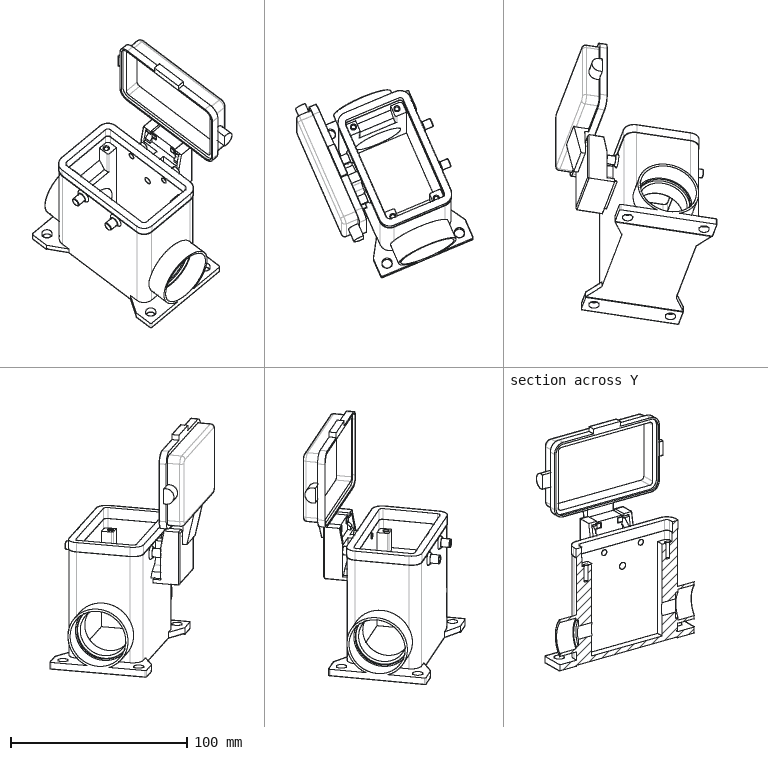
import cadquery as cq

FOOT_HALF_LENGTH = 46.75
FOOT_HALF_WIDTH = 28.5
FOOT_HEIGHT = 4.0
FOOT_WING_TIP_X = 24.2
FOOT_CORNER_RADIUS = 0.8
FOOT_HOLE_X = 40.75
FOOT_HOLE_Y = 22.35
FOOT_HOLE_RADIUS = 2.9

BODY_HALF_LENGTH = 35.2
BODY_HALF_WIDTH = 21.75
BODY_BOTTOM_Z = 0.5
BODY_TOP_Z = 73.1
BODY_CORNER_RADIUS = 6.0
RIM_HEIGHT = 5.6
RIM_OVERHANG = 0.3

CAVITY_HALF_LENGTH = 31.3
CAVITY_HALF_WIDTH = 17.85
CAVITY_CORNER_RADIUS = 2.0
CAVITY_LEDGE = 0.15
CAVITY_LEDGE_Z = 66.6
FLOOR_Z = 4.0

END_BLOCK_FACE_X = 24.3
END_BLOCK_RAMP_X = 27.3
END_BLOCK_TOP_Z = 44.5
END_BLOCK_RAMP_TOP_Z = 50.0
POST_TOP_Z = 61.0
POST_INNER_Y = 10.85
POST_EDGE_RADIUS = 0.8
SCREW_HOLE_X = 28.3
SCREW_HOLE_Y = 13.45
SCREW_HOLE_RADIUS = 1.2
SCREW_HOLE_CHAMFER = 0.55
SCREW_HOLE_DEPTH = 10.0

ENTRY_Z = 20.5
ENTRY_OUTER_RADIUS = 17.75
ENTRY_BORE_RADIUS = 14.0
ENTRY_SOCKET_RADIUS = 16.4
ENTRY_SEAT_RADIUS = 15.6
ENTRY_SOCKET_DEPTH = 11.3
ENTRY_SEAT_DEPTH = 1.5

PIN_X = 12.7
PIN_Z = 63.4
PIN_RADIUS = 2.5
PIN_END_Y = 28.3
PIN_END_CHAMFER = 0.3
COLLAR_BASE_RADIUS = 4.1
COLLAR_TIP_RADIUS = 3.0
COLLAR_LENGTH = 1.4
RIVET_RADIUS = 1.75
RIVET_DEPTH = 0.2
FIXING_RIVET_RADIUS = 2.1
FIXING_RIVET_Z = 52.0

BRACKET_HALF_WIDTH = 14.9
BRACKET_BACK_Y = 39.4
BRACKET_FRONT_Y = 28.1
BRACKET_TOP_FRONT_Y = 30.0
BRACKET_LIP_Y = 23.7
BRACKET_TOP_Z = 77.6
BRACKET_SHOULDER_Z = 67.3
BRACKET_LIP_Z = 48.2
BRACKET_BOTTOM_Z = 46.0
BRACKET_CHAMFER = 0.8
BRACKET_CHEEK = 2.0
KNUCKLE_HALF_WIDTH = 8.9
KNUCKLE_TOP_Z = 76.4
KNUCKLE_FACE_Y = 31.2
KNUCKLE_LUG_INNER_X = 5.8
KNUCKLE_LUG_DEPTH = 0.6
KNUCKLE_LUG_BOTTOM_Z = 72.5
KNUCKLE_LUG_TOP_Z = 75.5
SLIT_WIDTH = 0.5
SLIT_DEPTH = 3.0
STEM_HALF_WIDTH = 2.6
STEM_FLARE_START_Z = 59.2
STEM_FLARE_MIDDLE = (3.3, 56.0)
STEM_FLARE_END = (5.2, 53.6)
STEM_SHOULDER = (10.0, 51.1)
STEM_FOOT_HALF_WIDTH = 12.7
SIDE_POCKET_SILL_Y = 29.5
SIDE_POCKET_SILL_Z = 69.0
SIDE_POCKET_BACK_Y = 35.0
SIDE_POCKET_FLOOR_BACK_Z = 73.6
SIDE_POCKET_ROOF_BACK_Z = 74.6
SIDE_POCKET_NOSE_Y = 30.2
SIDE_POCKET_NOSE_Z = 74.9
SIDE_POCKET_TOP_Y = 31.6
SIDE_POCKET_TOP_Z = 76.2

LID_HALF_LENGTH = 36.4
LID_BOTTOM_Z = 84.5
LID_TOP_Z = 130.75
LID_CORNER_RADIUS = 6.0
LID_FRONT_Y = 33.2
LID_FLANGE_BACK_Y = 37.4
LID_BACK_Y = 46.75
LID_SHELL_INSET = 2.2
LID_BACK_FILLET = 2.0
LID_SEAL_INSET = 1.1
LID_SEAL_DEPTH = 1.5
LID_CAVITY_INSET = 3.65
LID_CAVITY_CORNER_RADIUS = 2.0
LID_CAVITY_FLOOR_Y = 43.5
LID_TAB_HALF_WIDTH = 9.4
LID_TAB_TOP_Z = 133.75
EAR_HALF_SPAN = 41.85
EAR_RADIUS = 4.65
EAR_Y = 38.8
EAR_Z = 107.4
ARM_TOP_BACK_Y = 46.3
ARM_TOP_Z = 88.0
ARM_BOTTOM_BACK_Y = 41.9
ARM_BOTTOM_Z = 68.6
ARM_FRONT_Y = 39.6

SIDES = (-1, 1)


def box(x0, x1, y0, y1, z0, z1):
    """Axis-aligned block between the given limits."""
    return cq.Workplane("XY").box(x1 - x0, y1 - y0, z1 - z0, centered=False).translate((x0, y0, z0))


def cylinder_x(radius, x0, x1, y, z):
    """Cylinder along X from x0 to x1."""
    return cq.Workplane("YZ", origin=(x0, y, z)).circle(radius).extrude(x1 - x0)


def cylinder_y(radius, x, y0, y1, z):
    """Cylinder along Y from y0 to y1."""
    return cq.Workplane("XZ", origin=(x, y0, z)).circle(radius).extrude(y0 - y1)


def profile_yz(points, half_width):
    """Prism across X, centred, with a (y, z) outline."""
    return cq.Workplane("YZ").polyline(points).close().extrude(half_width, both=True)


def make_feet():
    corner_x = BODY_HALF_LENGTH
    feet = cq.Workplane("XY")
    for side in SIDES:
        half_outline = [
            (FOOT_HALF_LENGTH, FOOT_HALF_WIDTH),
            (corner_x, FOOT_HALF_WIDTH),
            (FOOT_WING_TIP_X, BODY_HALF_WIDTH),
        ]
        outline = half_outline + [(x, -y) for x, y in reversed(half_outline)]
        foot = (
            cq.Workplane("XY")
            .polyline([(side * x, y) for x, y in outline])
            .close()
            .extrude(FOOT_HEIGHT)
            .edges("|Z and " + (">X" if side > 0 else "<X"))
            .fillet(FOOT_CORNER_RADIUS)
        )
        feet = feet.add(foot)
    feet = feet.combine()
    clearance = box(-corner_x, corner_x, -FOOT_HALF_WIDTH, FOOT_HALF_WIDTH, 0, BODY_BOTTOM_Z)
    return feet.cut(clearance)


def cut_foot_holes(part):
    holes = (
        cq.Workplane("XY")
        .rect(2 * FOOT_HOLE_X, 2 * FOOT_HOLE_Y, forConstruction=True)
        .vertices()
        .circle(FOOT_HOLE_RADIUS)
        .extrude(FOOT_HEIGHT)
    )
    return part.cut(holes)


def rounded_block(half_length, half_width, corner_radius, z0, z1):
    """Block centred on the Z axis, with rounded vertical edges."""
    block = box(-half_length, half_length, -half_width, half_width, z0, z1)
    return block.edges("|Z").fillet(corner_radius)


def make_body():
    """Solid housing block with a slightly larger rim on top."""
    lower = rounded_block(BODY_HALF_LENGTH, BODY_HALF_WIDTH, BODY_CORNER_RADIUS, BODY_BOTTOM_Z, BODY_TOP_Z)
    rim = rounded_block(
        BODY_HALF_LENGTH + RIM_OVERHANG,
        BODY_HALF_WIDTH + RIM_OVERHANG,
        BODY_CORNER_RADIUS + RIM_OVERHANG,
        BODY_TOP_Z - RIM_HEIGHT,
        BODY_TOP_Z,
    )
    return lower.union(rim)


def make_cavity():
    """Interior space, leaving ramped end blocks and four corner posts."""
    lower_half_width = CAVITY_HALF_WIDTH - CAVITY_LEDGE
    lower = rounded_block(
        CAVITY_HALF_LENGTH - CAVITY_LEDGE, lower_half_width, CAVITY_CORNER_RADIUS, FLOOR_Z, BODY_TOP_Z
    )
    mouth = rounded_block(
        CAVITY_HALF_LENGTH, CAVITY_HALF_WIDTH, CAVITY_CORNER_RADIUS, CAVITY_LEDGE_Z, BODY_TOP_Z
    )
    cavity = lower.union(mouth)
    block_outline = [
        (END_BLOCK_FACE_X, FLOOR_Z),
        (END_BLOCK_FACE_X, END_BLOCK_TOP_Z),
        (END_BLOCK_RAMP_X, END_BLOCK_TOP_Z),
        (CAVITY_HALF_LENGTH, END_BLOCK_RAMP_TOP_Z),
        (CAVITY_HALF_LENGTH, FLOOR_Z),
    ]
    for side in SIDES:
        block = (
            cq.Workplane("XZ")
            .polyline([(side * x, z) for x, z in block_outline])
            .close()
            .extrude(CAVITY_HALF_WIDTH, both=True)
        )
        cavity = cavity.cut(block)
        for end in SIDES:
            cavity = cavity.cut(make_post(side, end))
    return cavity


def make_post(side, end):
    x0, x1 = sorted((side * END_BLOCK_FACE_X, side * CAVITY_HALF_LENGTH))
    y0, y1 = sorted((end * POST_INNER_Y, end * CAVITY_HALF_WIDTH))
    inner_edge = "|Z and " + ("<X" if side > 0 else ">X") + " and " + ("<Y" if end > 0 else ">Y")
    post = box(x0, x1, y0, y1, FLOOR_Z, POST_TOP_Z).edges(inner_edge).fillet(POST_EDGE_RADIUS)
    screw_hole = (
        cq.Workplane("XY", origin=(side * SCREW_HOLE_X, end * SCREW_HOLE_Y, POST_TOP_Z))
        .circle(SCREW_HOLE_RADIUS)
        .extrude(-SCREW_HOLE_DEPTH)
    )
    countersink = (
        cq.Workplane("XY", origin=(side * SCREW_HOLE_X, end * SCREW_HOLE_Y, POST_TOP_Z))
        .circle(SCREW_HOLE_RADIUS + SCREW_HOLE_CHAMFER)
        .extrude(-SCREW_HOLE_CHAMFER, taper=45)
    )
    return post.cut(screw_hole).cut(countersink)


def make_entry_tubes():
    return cylinder_x(ENTRY_OUTER_RADIUS, -FOOT_HALF_LENGTH, FOOT_HALF_LENGTH, 0, ENTRY_Z)


def cut_entry_bores(part):
    part = part.cut(cylinder_x(ENTRY_BORE_RADIUS, -FOOT_HALF_LENGTH, FOOT_HALF_LENGTH, 0, ENTRY_Z))
    for side in SIDES:
        mouth = side * FOOT_HALF_LENGTH
        socket_end = mouth - side * ENTRY_SOCKET_DEPTH
        seat_end = socket_end - side * ENTRY_SEAT_DEPTH
        part = part.cut(cylinder_x(ENTRY_SOCKET_RADIUS, mouth, socket_end, 0, ENTRY_Z))
        part = part.cut(cylinder_x(ENTRY_SEAT_RADIUS, socket_end, seat_end, 0, ENTRY_Z))
    return part


def make_pin(x, wall_y):
    """Locking pin with a conical collar, pointing away from the housing wall."""
    outward = 1 if wall_y > 0 else -1
    pin = cylinder_y(PIN_RADIUS, x, wall_y - outward, outward * PIN_END_Y, PIN_Z)
    pin = pin.faces(">Y" if outward > 0 else "<Y").chamfer(PIN_END_CHAMFER)
    collar = (
        cq.Workplane("XZ", origin=(x, wall_y, PIN_Z))
        .circle(COLLAR_BASE_RADIUS)
        .workplane(offset=-outward * COLLAR_LENGTH)
        .circle(COLLAR_TIP_RADIUS)
        .loft()
    )
    return pin.union(collar)


def cut_rivet_seats(part):
    wall_y = CAVITY_HALF_WIDTH - CAVITY_LEDGE
    seat_y = wall_y + RIVET_DEPTH
    for side in SIDES:
        part = part.cut(cylinder_y(RIVET_RADIUS, side * PIN_X, wall_y, seat_y, PIN_Z))
    return part.cut(cylinder_y(FIXING_RIVET_RADIUS, 0, wall_y, seat_y, FIXING_RIVET_Z))


def make_bracket():
    outline = [
        (BRACKET_BACK_Y, BRACKET_BOTTOM_Z),
        (BRACKET_BACK_Y, BRACKET_TOP_Z),
        (BRACKET_TOP_FRONT_Y, BRACKET_TOP_Z),
        (BRACKET_FRONT_Y, BRACKET_SHOULDER_Z),
        (BRACKET_FRONT_Y, BRACKET_LIP_Z),
        (BRACKET_LIP_Y, BRACKET_LIP_Z),
        (BRACKET_LIP_Y, BRACKET_BOTTOM_Z),
    ]
    bracket = profile_yz(outline, BRACKET_HALF_WIDTH).faces(">Y").edges().chamfer(BRACKET_CHAMFER)

    slit_x = KNUCKLE_HALF_WIDTH + SLIT_WIDTH
    bracket = bracket.cut(
        box(-slit_x, slit_x, BRACKET_LIP_Y, BRACKET_BACK_Y, KNUCKLE_TOP_Z, BRACKET_TOP_Z)
    )
    bracket = bracket.cut(
        box(-slit_x, slit_x, BRACKET_FRONT_Y, KNUCKLE_FACE_Y, BRACKET_SHOULDER_Z, KNUCKLE_TOP_Z)
    )

    pocket_outline = [
        (BRACKET_FRONT_Y, BRACKET_SHOULDER_Z),
        (SIDE_POCKET_SILL_Y, BRACKET_SHOULDER_Z),
        (SIDE_POCKET_SILL_Y, SIDE_POCKET_SILL_Z),
        (SIDE_POCKET_BACK_Y, SIDE_POCKET_FLOOR_BACK_Z),
        (SIDE_POCKET_BACK_Y, SIDE_POCKET_ROOF_BACK_Z),
        (SIDE_POCKET_NOSE_Y, SIDE_POCKET_NOSE_Z),
        (SIDE_POCKET_TOP_Y, SIDE_POCKET_TOP_Z),
        (BRACKET_FRONT_Y, SIDE_POCKET_TOP_Z),
    ]
    side_pockets = profile_yz(pocket_outline, BRACKET_HALF_WIDTH - BRACKET_CHEEK)
    knuckle = box(
        -KNUCKLE_HALF_WIDTH, KNUCKLE_HALF_WIDTH,
        BRACKET_FRONT_Y, BRACKET_BACK_Y, BRACKET_BOTTOM_Z, BRACKET_TOP_Z,
    )
    bracket = bracket.cut(side_pockets.cut(knuckle))

    lug_front_y = KNUCKLE_FACE_Y - KNUCKLE_LUG_DEPTH
    for side in SIDES:
        slit_x0, slit_x1 = sorted((side * KNUCKLE_HALF_WIDTH, side * slit_x))
        lug_x0, lug_x1 = sorted((side * KNUCKLE_LUG_INNER_X, side * KNUCKLE_HALF_WIDTH))
        slit = box(
            slit_x0, slit_x1, BRACKET_FRONT_Y, BRACKET_BACK_Y, KNUCKLE_TOP_Z - SLIT_DEPTH, KNUCKLE_TOP_Z
        )
        lug = box(lug_x0, lug_x1, lug_front_y, KNUCKLE_FACE_Y, KNUCKLE_LUG_BOTTOM_Z, KNUCKLE_LUG_TOP_Z)
        bracket = bracket.cut(slit).union(lug)
    return bracket


def make_stem():
    """Flared web that carries the bracket on the back wall."""
    right_half = (
        cq.Workplane("XZ", origin=(0, BODY_HALF_WIDTH, 0))
        .moveTo(0, BRACKET_SHOULDER_Z)
        .lineTo(STEM_HALF_WIDTH, BRACKET_SHOULDER_Z)
        .lineTo(STEM_HALF_WIDTH, STEM_FLARE_START_Z)
        .threePointArc(STEM_FLARE_MIDDLE, STEM_FLARE_END)
        .lineTo(*STEM_SHOULDER)
        .lineTo(STEM_FOOT_HALF_WIDTH, BRACKET_LIP_Z)
        .lineTo(0, BRACKET_LIP_Z)
        .close()
        .extrude(BODY_HALF_WIDTH - BRACKET_FRONT_Y)
    )
    return right_half.union(right_half.mirror("YZ"))


def lid_slab(inset, y0, y1, corner_radius):
    """Rounded slab following the lid outline, drawn in by an inset."""
    half_length = LID_HALF_LENGTH - inset
    slab = box(-half_length, half_length, y0, y1, LID_BOTTOM_Z + inset, LID_TOP_Z - inset)
    return slab.edges("|Y").fillet(corner_radius)


def make_ears():
    ears = cylinder_x(EAR_RADIUS, -EAR_HALF_SPAN, EAR_HALF_SPAN, EAR_Y, EAR_Z)
    behind_flange = box(
        -EAR_HALF_SPAN, EAR_HALF_SPAN, LID_FLANGE_BACK_Y, LID_BACK_Y, EAR_Z - EAR_RADIUS, EAR_Z + EAR_RADIUS
    )
    return ears.intersect(behind_flange)


def make_arm():
    outline = [
        (ARM_TOP_BACK_Y, ARM_TOP_Z),
        (ARM_BOTTOM_BACK_Y, ARM_BOTTOM_Z),
        (BRACKET_BACK_Y - BRACKET_CHAMFER, ARM_BOTTOM_Z),
        (BRACKET_BACK_Y - BRACKET_CHAMFER, KNUCKLE_TOP_Z),
        (ARM_FRONT_Y, KNUCKLE_TOP_Z),
        (ARM_FRONT_Y, LID_BOTTOM_Z),
        (LID_FLANGE_BACK_Y, LID_BOTTOM_Z),
        (LID_FLANGE_BACK_Y, ARM_TOP_Z),
    ]
    return profile_yz(outline, KNUCKLE_HALF_WIDTH)


def make_lid():
    flange = lid_slab(0, LID_FRONT_Y, LID_FLANGE_BACK_Y, LID_CORNER_RADIUS)
    shell = lid_slab(LID_SHELL_INSET, LID_FRONT_Y, LID_BACK_Y, LID_CORNER_RADIUS - LID_SHELL_INSET)
    shell = shell.faces(">Y").edges().fillet(LID_BACK_FILLET)
    tab_root_z = LID_TOP_Z - LID_SEAL_INSET
    tab = box(
        -LID_TAB_HALF_WIDTH, LID_TAB_HALF_WIDTH, LID_FRONT_Y, LID_FLANGE_BACK_Y, tab_root_z, LID_TAB_TOP_Z
    )
    lid = flange.union(shell).union(tab).union(make_ears()).union(make_arm())

    seal_recess = lid_slab(
        LID_SEAL_INSET, LID_FRONT_Y, LID_FRONT_Y + LID_SEAL_DEPTH, LID_CORNER_RADIUS - LID_SEAL_INSET
    )
    cavity = lid_slab(LID_CAVITY_INSET, LID_FRONT_Y, LID_CAVITY_FLOOR_Y, LID_CAVITY_CORNER_RADIUS)
    return lid.cut(seal_recess).cut(cavity)


def make_part():
    part = make_feet().union(make_body()).union(make_entry_tubes())
    part = part.cut(make_cavity())
    part = cut_entry_bores(part)
    part = cut_foot_holes(part)
    part = cut_rivet_seats(part)
    for side in SIDES:
        for wall_y in (-BODY_HALF_WIDTH, BODY_HALF_WIDTH):
            part = part.union(make_pin(side * PIN_X, wall_y))
    return part.union(make_stem()).union(make_bracket()).union(make_lid())


result = make_part()